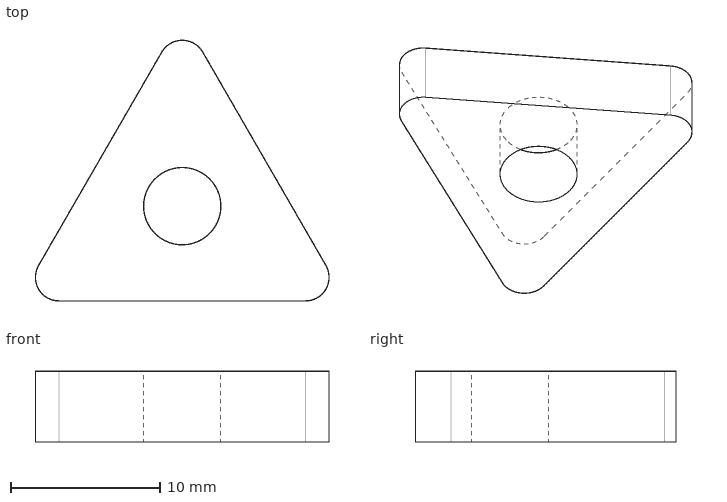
import cadquery as cq

inscribed_diameter = 12.7
thickness = 4.76
corner_radius = 1.5875
hole_diameter = 5.16

circumscribed_diameter = 2 * inscribed_diameter


def insert_body():
    """Equilateral prism with one corner toward +Y and rounded upright edges."""
    return (
        cq.Workplane("XY")
        .polygon(3, circumscribed_diameter)
        .extrude(thickness)
        .rotate((0, 0, 0), (0, 0, 1), 90)
        .edges("|Z")
        .fillet(corner_radius)
    )


def clamping_hole(body):
    """Cut the plain through hole on the insert axis."""
    return body.faces(">Z").workplane(origin=(0, 0, thickness)).hole(hole_diameter)


result = clamping_hole(insert_body())